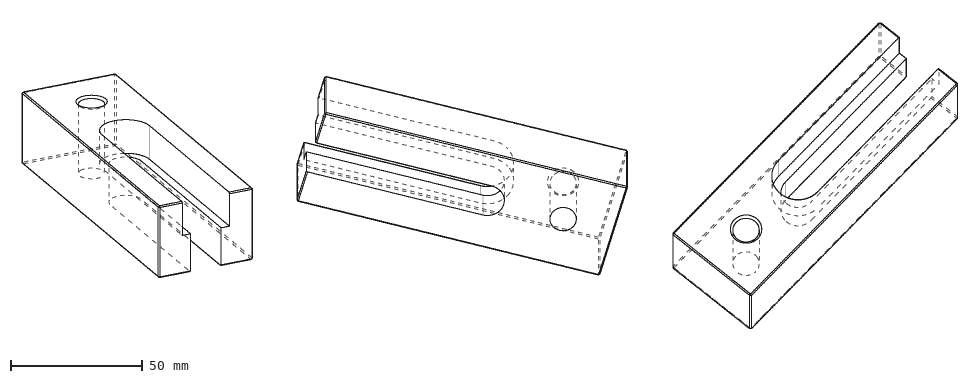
import cadquery as cq

length = 120.0
width = 40.0
height = 30.0
edge_chamfer = 0.5

slot_center_x = 50.0
upper_slot_width = 20.0
lower_slot_width = 13.0
upper_slot_depth = 14.0

hole_x = 20.0
hole_diameter = 10.1
countersink_diameter = 12.0
countersink_depth = (countersink_diameter - hole_diameter) / 2


def open_slot(slot_width, depth):
    """Round-ended slot cutter reaching down from the top face."""
    run = length - slot_center_x
    floor = cq.Workplane("XY").workplane(offset=height - depth)
    round_end = floor.center(slot_center_x, 0).circle(slot_width / 2).extrude(depth)
    straight = (
        floor.center(slot_center_x + run / 2, 0)
        .rect(run, slot_width)
        .extrude(depth)
    )
    return round_end.union(straight)


block = (
    cq.Workplane("XY")
    .box(length, width, height, centered=(False, True, False))
    .edges()
    .chamfer(edge_chamfer)
)

slotted = block.cut(open_slot(upper_slot_width, upper_slot_depth))
slotted = slotted.cut(open_slot(lower_slot_width, height))

hole = cq.Workplane("XY").center(hole_x, 0).circle(hole_diameter / 2).extrude(height)
countersink = (
    cq.Workplane("XY")
    .workplane(offset=height)
    .center(hole_x, 0)
    .circle(countersink_diameter / 2)
    .workplane(offset=-countersink_depth)
    .circle(hole_diameter / 2)
    .loft()
)

result = slotted.cut(hole).cut(countersink)